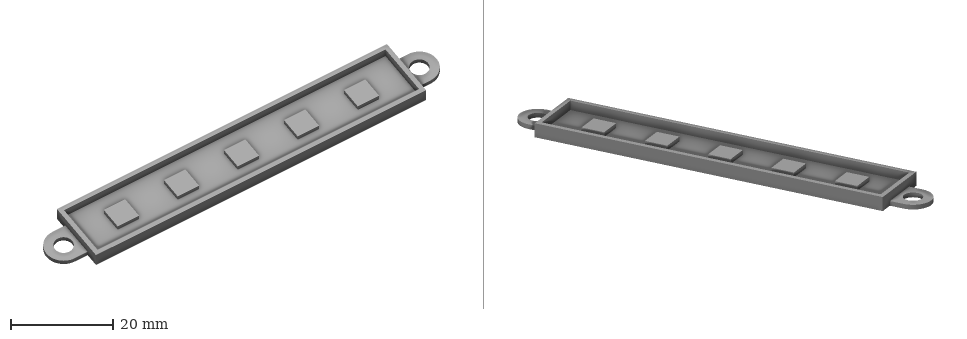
import cadquery as cq

tray_width = 14.0
tray_length = 77.0
base_thickness = 1.0
rim_height = 2.0
rim_wall = 1.0

ear_width = 8.0
ear_hole_diameter = 4.0
ear_hole_offset = 3.0
hole_spacing = tray_length + 2 * ear_hole_offset

pad_count = 5
pad_size = 5.0
pad_pitch = 14.0
pad_height = 1.0


def make_base():
    """Flat plate with a round-ended, drilled ear at each end."""
    plate = cq.Workplane("XY").rect(tray_width, tray_length).extrude(base_thickness)
    ears = (
        cq.Workplane("XY")
        .slot2D(hole_spacing + ear_width, ear_width, 90)
        .extrude(base_thickness)
    )
    holes = (
        cq.Workplane("XY")
        .rarray(1, hole_spacing, 1, 2)
        .circle(ear_hole_diameter / 2)
        .extrude(base_thickness)
    )
    return plate.union(ears).cut(holes)


def make_rim():
    """Rectangular wall standing on the edge of the base plate."""
    return (
        cq.Workplane("XY")
        .workplane(offset=base_thickness)
        .rect(tray_width, tray_length)
        .rect(tray_width - 2 * rim_wall, tray_length - 2 * rim_wall)
        .extrude(rim_height)
    )


def make_pads():
    """Evenly spaced square pads along the middle of the tray floor."""
    return (
        cq.Workplane("XY")
        .workplane(offset=base_thickness)
        .rarray(1, pad_pitch, 1, pad_count)
        .rect(pad_size, pad_size)
        .extrude(pad_height)
    )


result = make_base().union(make_rim(), clean=False).union(make_pads(), clean=False)